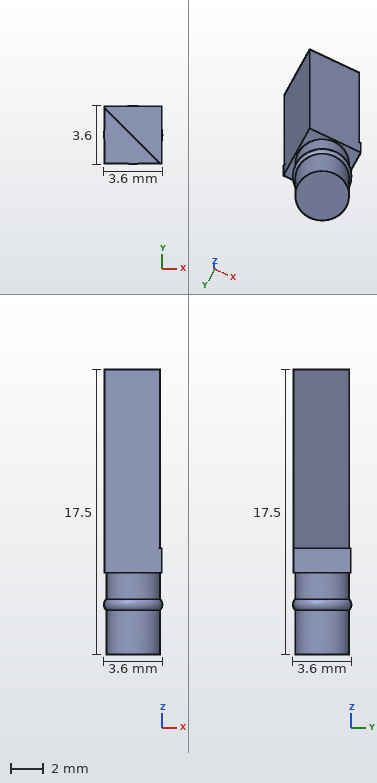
import cadquery as cq

total_height = 17.5
block_side = 3.54
block_bottom = 5.0
block_top = 6.53

shank_diameter = 3.3
bead_diameter = 3.6
bead_tube_radius = 0.45
bead_height = 3.06

corner_inset = 0.1

half_side = block_side / 2
prism_end = half_side - corner_inset


def make_shank():
    """Plain cylinder from the base up to the square block."""
    return cq.Workplane("XY").circle(shank_diameter / 2).extrude(block_bottom)


def make_bead():
    """Ring of circular section, partly sunk into the shank."""
    ring_radius = bead_diameter / 2 - bead_tube_radius
    return (
        cq.Workplane("XZ")
        .center(ring_radius, bead_height)
        .circle(bead_tube_radius)
        .revolve(360, (-ring_radius, 0), (-ring_radius, 1))
    )


def make_block():
    """Square collar at the top of the shank."""
    return (
        cq.Workplane("XY", origin=(0, 0, block_bottom))
        .rect(block_side, block_side)
        .extrude(block_top - block_bottom)
    )


def make_prism():
    """Triangular column filling the -X, -Y half above the block."""
    return (
        cq.Workplane("XY", origin=(0, 0, block_top))
        .moveTo(-half_side, -half_side)
        .lineTo(prism_end, -half_side)
        .lineTo(-half_side, prism_end)
        .close()
        .extrude(total_height - block_top)
    )


result = make_shank().union(make_bead()).union(make_block()).union(make_prism())